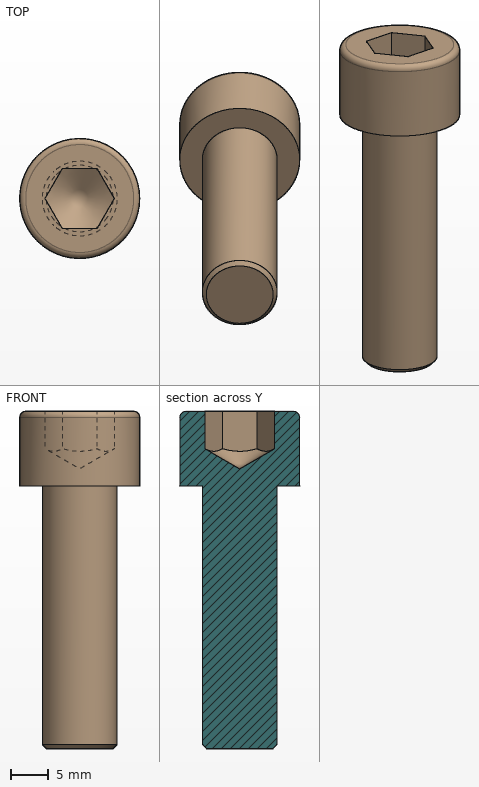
import cadquery as cq
import math

total_length = 45.0
head_height = 10.0
head_diameter = 16.0
shank_diameter = 10.0
shank_length = total_length - head_height

head_fillet = 0.8
tip_chamfer = 0.55

socket_sides = 6
socket_across_flats = 8.0
socket_depth = 5.0
socket_cone_half_angle = 60.0
socket_across_corners = socket_across_flats / math.cos(math.pi / socket_sides)


def make_head():
    """Cylindrical head with a rounded top rim."""
    head = cq.Workplane("XY").circle(head_diameter / 2).extrude(head_height)
    return head.faces(">Z").edges().fillet(head_fillet)


def make_shank():
    """Plain shank below the head with a chamfered tip."""
    shank = cq.Workplane("XY").circle(shank_diameter / 2).extrude(-shank_length)
    return shank.faces("<Z").edges().chamfer(tip_chamfer)


def make_socket():
    """Hexagonal prism, corners along X, whose lower end is cut to a cone."""
    corner_radius = socket_across_corners / 2
    cone_height = corner_radius / math.tan(math.radians(socket_cone_half_angle))
    prism = cq.Workplane("XY").polygon(socket_sides, socket_across_corners).extrude(head_height)
    wall_end = head_height - socket_depth
    envelope = (
        cq.Workplane("XZ")
        .moveTo(0, wall_end - cone_height)
        .lineTo(corner_radius, wall_end)
        .lineTo(corner_radius, head_height)
        .lineTo(0, head_height)
        .close()
        .revolve(360, (0, 0, 0), (0, 1, 0))
    )
    return prism.intersect(envelope)


result = make_head().union(make_shank()).cut(make_socket())